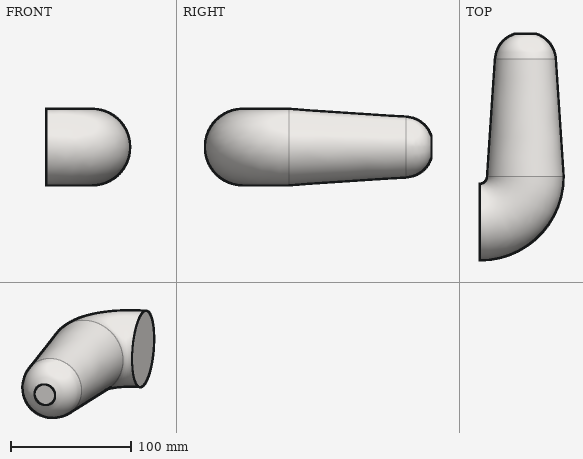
import cadquery as cq
import math

tube_radius = 32.0
bend_radius = 38.0
bend_angle = 90.0
grip_length = 120.0
grip_tip_radius = 24.0
dome_radius = 24.0
overall_length = 188.83

grip_start = tube_radius + bend_radius
grip_tip = grip_start + grip_length
dome_center_y = grip_tip - dome_radius

taper_slope = (tube_radius - grip_tip_radius) / grip_length
taper_angle = math.atan(taper_slope)
cone_radius_at_dome_center = tube_radius - taper_slope * (dome_center_y - grip_start)
dome_center_radius = cone_radius_at_dome_center - dome_radius / math.cos(taper_angle)
flat_angle = math.asin((overall_length - dome_center_y) / dome_radius)


def dome_point(angle):
    """Point (radius, height) of the dome arc; the angle rises from the radial direction."""
    return (
        dome_center_radius + dome_radius * math.cos(angle),
        dome_center_y + dome_radius * math.sin(angle),
    )


def make_elbow():
    """Round bar bent from the end face at X = 0 to the start of the grip."""
    section = cq.Workplane("YZ").center(tube_radius, 0).circle(tube_radius)
    return section.revolve(bend_angle, (bend_radius, 0, 0), (bend_radius, 1, 0))


def make_grip():
    """Tapered grip with a domed end, turned about an axis parallel to Y."""
    profile = (
        cq.Workplane("XY", origin=(bend_radius, 0, 0))
        .moveTo(0, grip_start)
        .lineTo(tube_radius, grip_start)
        .lineTo(*dome_point(taper_angle))
        .threePointArc(dome_point((taper_angle + flat_angle) / 2), dome_point(flat_angle))
        .lineTo(0, overall_length)
        .close()
    )
    return profile.revolve(360, (0, 0, 0), (0, 1, 0))


result = make_elbow().union(make_grip())